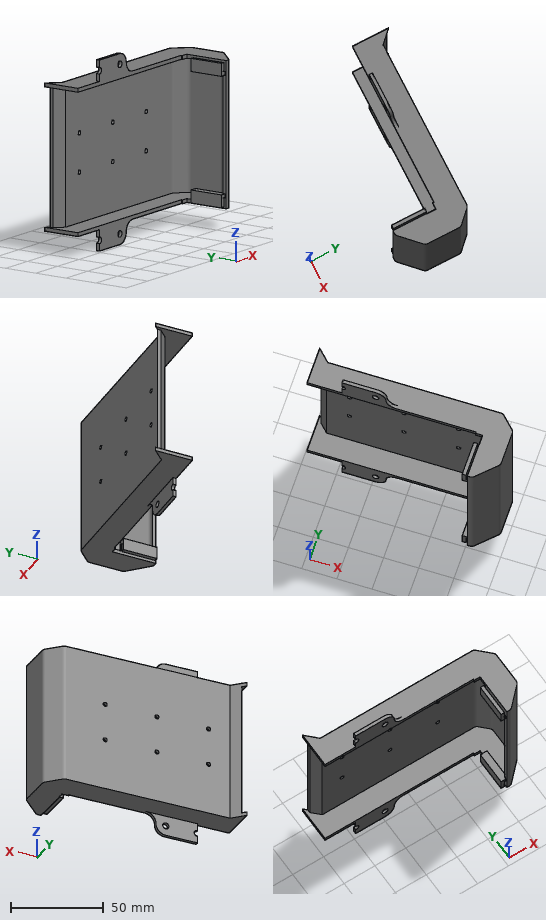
import cadquery as cq
import math

length = 115.0
depth = 49.0
body_height = 82.3
sheet = 2.1
wall = 2.2
bend_radius = 2.9

back_y = 42.1
flare = depth - back_y
rear_bevel = 8.5
front_bevel = 12.2
hook_x = 100.0
rim_y = 26.9
step_x = 96.3
step_depth = 0.8
flare_end_x = 2.1

plate_hole_diameter = 2.3
plate_hole_xs = (19.8, 50.8, 81.9)
plate_hole_z = 10.9

ear_start_x = 19.9
ear_height = 11.8
ear_radius = ear_height / 2
ear_end_x = 45.0
ear_thickness = 2.0
ear_hole_diameter = 3.6
notch_offset = 0.2

clip_y = 0.8
clip_length = 20.2
clip_x = 96.8
clip_height = 7.2
clip_inset = 1.0
clip_thickness = 2.2
clip_root = 1.2

half_height = body_height / 2


def body_outline():
    """Outer side profile, extruded to the full height with rounded bends."""
    points = [
        (0, depth),
        (flare, back_y),
        (length - rear_bevel, back_y),
        (length, back_y - rear_bevel),
        (length, front_bevel),
        (length - front_bevel, 0),
        (hook_x, 0),
        (hook_x, rim_y - step_depth),
        (step_x, rim_y - step_depth),
        (step_x, rim_y),
        (0, rim_y),
    ]
    solid = cq.Workplane("XY").polyline(points).close().extrude(half_height, both=True)
    return round_bends(solid, points[2:6])


def round_bends(solid, corners):
    """Fillet the Z-parallel edges standing at the given corners."""
    reach = 0.1
    for x, y in corners:
        box = cq.selectors.BoxSelector(
            (x - reach, y - reach, -reach), (x + reach, y + reach, reach)
        )
        solid = solid.edges("|Z").edges(box).fillet(bend_radius)
    return solid


def body_cavity():
    """Space between the walls, open to the front, inside the bent sheet."""
    floor_y = back_y - sheet
    inner_x = length - sheet
    bends = [
        (length - rear_bevel, floor_y),
        (inner_x, back_y - rear_bevel),
        (inner_x, front_bevel),
        (length - front_bevel, sheet),
    ]
    points = [
        (-1.2, depth + 1.2),
        (flare_end_x, depth + 1.2),
        (flare_end_x, floor_y + flare - flare_end_x),
        (flare, floor_y),
        *bends,
        (hook_x - 1.2, sheet),
        (-1.2, sheet),
    ]
    solid = (
        cq.Workplane("XY").polyline(points).close().extrude(half_height - wall, both=True)
    )
    return round_bends(solid, bends)


def plate_holes():
    """Two rows of holes through the main plate."""
    places = [(x, z) for x in plate_hole_xs for z in (-plate_hole_z, plate_hole_z)]
    return (
        cq.Workplane("XZ", origin=(0, depth, 0))
        .pushPoints(places)
        .circle(plate_hole_diameter / 2)
        .extrude(depth - rim_y)
    )


def ear():
    """Upper mounting ear with an S-shaped end, a hole and an edge notch."""
    root_z = half_height - wall / 2
    top_z = half_height + ear_height
    hole_z = top_z - ear_radius
    arc_shift = ear_radius * math.sqrt(0.5)
    hole_x = ear_end_x - ear_radius
    foot_x = ear_end_x + ear_radius
    outline = (
        cq.Workplane("XZ", origin=(0, rim_y, 0))
        .moveTo(ear_start_x, root_z)
        .lineTo(ear_start_x, top_z)
        .lineTo(hole_x, top_z)
        .threePointArc((hole_x + arc_shift, hole_z + arc_shift), (ear_end_x, hole_z))
        .threePointArc((foot_x - arc_shift, hole_z - arc_shift), (foot_x, half_height))
        .lineTo(foot_x, root_z)
        .close()
        .extrude(-ear_thickness)
    )
    holes = (
        cq.Workplane("XZ", origin=(0, rim_y, 0))
        .pushPoints([(hole_x, hole_z), (ear_start_x + notch_offset, hole_z)])
        .circle(ear_hole_diameter / 2)
        .extrude(-ear_thickness)
    )
    return outline.cut(holes)


def clip():
    """Upper U-shaped clip: front leg, web and a rear leg joined to the wall."""
    outer_z = half_height - clip_inset
    inner_z = outer_z - clip_height
    rear_x = hook_x + clip_root
    points = [
        (clip_x, inner_z),
        (rear_x, inner_z),
        (rear_x, outer_z),
        (hook_x, outer_z),
        (hook_x, inner_z + clip_thickness),
        (clip_x + clip_thickness, inner_z + clip_thickness),
        (clip_x + clip_thickness, outer_z),
        (clip_x, outer_z),
    ]
    return (
        cq.Workplane("XZ", origin=(0, clip_y, 0)).polyline(points).close().extrude(-clip_length)
    )


result = body_outline().cut(body_cavity()).cut(plate_holes())
for feature in (ear(), clip()):
    result = result.union(feature).union(feature.mirror("XY"))